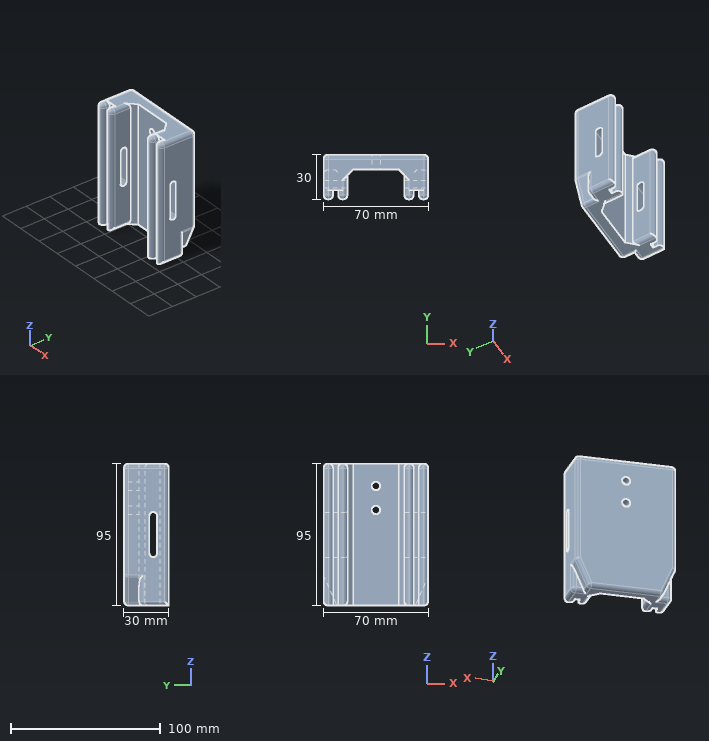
import cadquery as cq
import math

width = 70.0
depth = 30.0
height = 95.0

rail_width = 6.4
rail_pitch = 9.7
groove_depth = 6.2
wall = rail_pitch + rail_width

channel_depth = 20.0
channel_chamfer = 3.8

edge_radius = 3.0

hole_diameter = 5.5
hole_heights = (63.9, 80.0)

slot_width = 5.0
slot_length = 30.0
slot_from_front = 10.45

relief_depth = 10.1
relief_height = 19.95
relief_angle = 24.0
relief_inset = relief_height * math.tan(math.radians(relief_angle))

half_width = width / 2
half_channel = half_width - wall
front = -depth / 2
back = depth / 2
relief_front = back - relief_depth
channel_back = front + channel_depth
chamfer_start = channel_back - channel_chamfer

core_front = chamfer_start - edge_radius
core_opening = half_channel + edge_radius
tolerance = 0.01


def make_core():
    """Back of the holder: rounded block with sloped reliefs and the channel floor."""
    core_depth = back - core_front
    block = (
        cq.Workplane("XZ", origin=(0, back, 0))
        .moveTo(-half_width, height)
        .lineTo(half_width, height)
        .lineTo(half_width, relief_height)
        .lineTo(half_width - relief_inset, 0)
        .lineTo(-half_width + relief_inset, 0)
        .lineTo(-half_width, relief_height)
        .close()
        .extrude(core_depth)
        .edges("|Y or >Y")
        .fillet(edge_radius)
    )
    floor_half = half_channel - channel_chamfer
    channel = (
        cq.Workplane("XY")
        .moveTo(-core_opening, core_front)
        .lineTo(-floor_half, channel_back)
        .lineTo(floor_half, channel_back)
        .lineTo(core_opening, core_front)
        .close()
        .extrude(height)
    )
    return block.cut(channel)


def is_wall_edge_rounded(edge):
    """Choose the rounded edges of the left wall; its bottom front and groove ends stay sharp."""
    box = edge.BoundingBox()
    middle = edge.Center()
    on_front = box.ymax < front + tolerance
    on_rear = box.ymin > relief_front - tolerance
    at_top = box.zmin > height - tolerance
    at_bottom = box.zmax < tolerance
    on_outside = box.xmax < -half_width + tolerance
    on_inside = box.xmin > -half_channel - tolerance
    in_groove = front + tolerance < middle.y < front + groove_depth + tolerance
    groove_floor = in_groove and box.ymin > front + tolerance
    if at_top:
        return not on_rear and not groove_floor
    if at_bottom:
        return on_outside or on_inside or on_rear
    return on_front or (on_rear and on_outside)


def make_left_wall():
    """Side wall ending in two round-nosed rails."""
    wall_depth = relief_front - front
    center_x = -half_width + wall / 2
    block = (
        cq.Workplane("XY")
        .center(center_x, front + wall_depth / 2)
        .rect(wall, wall_depth)
        .extrude(height)
    )
    groove = (
        cq.Workplane("XY")
        .center(center_x, front + groove_depth / 2)
        .rect(rail_pitch - rail_width, groove_depth)
        .extrude(height)
    )
    block = block.cut(groove)
    rounded_edges = [edge for edge in block.edges().vals() if is_wall_edge_rounded(edge)]
    return block.newObject(rounded_edges).fillet(edge_radius)


left_wall = make_left_wall()
body = make_core().union(left_wall).union(left_wall.mirror("YZ"))

hole_points = [(0, z) for z in hole_heights]
holes = (
    cq.Workplane("XZ", origin=(0, back, 0))
    .pushPoints(hole_points)
    .circle(hole_diameter / 2)
    .extrude(depth)
)

slots = (
    cq.Workplane("YZ", origin=(-half_width, front + slot_from_front, height / 2))
    .slot2D(slot_length, slot_width, 90)
    .extrude(width)
)

result = body.cut(holes).cut(slots)